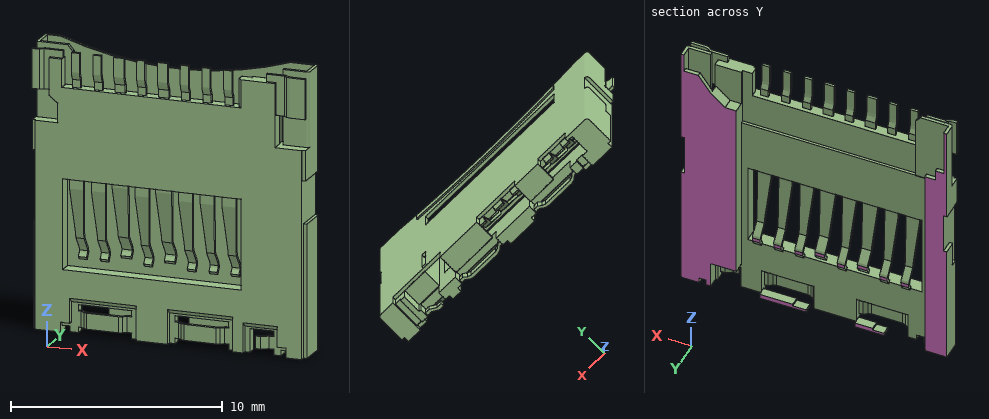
import cadquery as cq

WIDTH = 13.8
HEIGHT = 14.1
DEPTH = 1.93
HALF_WIDTH = WIDTH / 2

SHEET = 0.17
SHELL_BACK = 1.86
PLATE_FRONT = SHELL_BACK - SHEET
SHELL_CORNER_RADIUS = 0.17
FLANGE_CORNER_RADIUS = 0.14
INNER_HALF = HALF_WIDTH - SHEET
WALL_GAP_BOTTOM = 6.67
WALL_GAP_TOP = 8.85
SHOULDER_Z = 10.36
UPPER_WALL_FRONT = 0.08
LOWER_WALL_FRONT = 0.27
STEPPED_WALL_FRONT = 0.59
WALL_STEP_Z = 5.32
FLANGE_FRONT = 0.55
FLANGE_BACK = FLANGE_FRONT + SHEET
LEFT_FLANGE_END = -5.02
RIGHT_FLANGE_END = 5.6
PLATE_BOTTOM = 1.18
PLATE_CUT_LEFT = -5.44
PLATE_CUT_RIGHT = 5.94

ARC_X = -0.28
ARC_RADIUS = 18.05
ARC_BOTTOM = 13.14

FLANGE_CHAMFER_X = -5.29
FLANGE_CHAMFER_Z = 13.79

CONTACT_OPENING = (-4.71, 3.78, 9.87, 11.56)
SLIDER_OPENING = (3.78, 4.02, 1.69, 4.23)

LIP_X = -0.2
LIP_HALF = 4.51
LIP_OFFSET = 0.44
LIP_BAND = 0.72

BASE_TOP = 12.14
POST_TOP = 13.54
BASE_WALL = 0.55
LEFT_POST_BACK = 0.45
LOWER_BASE_WALL = 0.69
SLOT_LEFT = -5.75
SLOT_RIGHT = 5.35
LEFT_POST_OUTER = -6.02
LEFT_POST_INNER = -5.39
LEFT_SHOULDER_X = -5.6
LEFT_SHOULDER_Z = (11.34, 11.67)
RIGHT_POST_INNER = 3.68
RIGHT_POST_OUTER = 5.39
POST_CHAMFER = 0.17
POST_STEP_X = 4.02
RAIL_STEP_Y = 1.06
LEFT_RAIL_STEP_X = -6.3
RAIL_REAR_TOP = 11.0
RAIL_CORNER_TOP = 11.56

SLIDER_LEFT = 4.02
SLIDER_RAMP_X = 4.6
SLIDER_BOTTOM = 1.41
SLIDER_LOW_TOP = 11.56
SLIDER_HIGH_TOP = 12.2
RAIL_RAMP_END_X = 5.99
RIGHT_RAIL_TOP = 13.08

WINDOW_LEFT = -5.35
WINDOW_RIGHT = 3.68
WINDOW_BOTTOM = 3.12
WINDOW_TOP = 7.61

CONTACT_COUNT = 8
CONTACT_PITCH = 1.1
FIRST_CONTACT_X = -4.71
CONTACT_SHEET = 0.14
CONTACT_TOP = 13.9
WIDE_CONTACTS = (2, 4)
ROOT_WIDTH = 0.7
WIDE_ROOT_WIDTH = 0.82
TIP_WIDTH = 0.41
WIDE_TIP_WIDTH = 0.52
ROOT_BOTTOM = 7.09
WIDE_ROOT_BOTTOM = 7.4
WIDE_TIP_LIFT = 0.28
NECK_Z = 4.8

RECESS_DEPTH = 0.23
RECESS_RAMP = 0.23
FOOT_NOTCH_TOP = 0.28
FOOT_RECESS_TOP = 0.5
OPENING_TOP = 1.4
STRIP_BOTTOM = 0.28
STRIP_TOP = 1.09
STRIP_FRONT = 0.03
STRIP_SHEET = 0.17
STRIP_KNEE_LENGTH = 0.17
STRIP_KNEE_Y = 0.08
STOP_BOTTOM = 0.17
STOP_FRONT = 0.79
STOP_STEP = 0.1

LEFT_RECESS = (-4.98, -1.62)
MIDDLE_RECESS = (-0.03, 3.25)
RIGHT_RECESS = (3.78, 5.5)
RECESS_TOP = 1.73
RIGHT_RECESS_TOP = 1.51
LEFT_OPENING = (-4.62, -1.95)
MIDDLE_OPENING = (0.25, 2.96)
RIGHT_OPENING = (4.05, 5.23)
LEFT_FOOT_NOTCH = (PLATE_CUT_LEFT, -5.06)
RIGHT_FOOT_NOTCH = (5.6, PLATE_CUT_RIGHT)
LEFT_BULGE = (-4.48, -2.17)
MIDDLE_BULGE = (0.42, 2.76)
BULGE_RAMP = 0.35
SWITCH_TOP = 0.92
SWITCH_TIP = 4.37
SWITCH_BEND = (4.65, 4.99)
LEFT_STOP = (-3.64, -2.12)
LEFT_STOP_STEP_X = -3.06
MIDDLE_STOP = (0.4, 2.82)
MIDDLE_STOP_STEP_X = 1.09

TAB_BOTTOM = 11.91
TAB_TOP = CONTACT_TOP
TAB_SHEET = 0.15
TAB_STEP = 0.17
TAB_KNEE_Y = 0.04
LEFT_TAB_BENDS = (-6.68, -6.51, -6.35)
RIGHT_TAB_BENDS = (6.15, 5.96, 5.81)
RIGHT_TAB_END = 4.89


def block(x0, x1, y0, y1, z0, z1):
    return cq.Workplane("XY").box(x1 - x0, y1 - y0, z1 - z0, centered=False).translate((x0, y0, z0))


def front_prism(points, y0, y1):
    """Outline of (x, z) points, solid from y0 to y1."""
    return cq.Workplane("XZ", origin=(0, y1, 0)).polyline(points).close().extrude(y1 - y0)


def side_prism(points, x0, x1):
    """Outline of (y, z) points, solid from x0 to x1."""
    return cq.Workplane("YZ", origin=(x0, 0, 0)).polyline(points).close().extrude(x1 - x0)


def top_prism(points, z0, z1):
    """Outline of (x, y) points, solid from z0 to z1."""
    return cq.Workplane("XY", origin=(0, 0, z0)).polyline(points).close().extrude(z1 - z0)


def bent_strip(path, thickness, z0, z1):
    """Strip along a path of (x, y) points, thickened towards the back."""
    back = [(x, y + thickness) for x, y in reversed(path)]
    return top_prism(path + back, z0, z1)


def finger_recess():
    """Cylinder that scoops the top edge of the back plate."""
    centre = (ARC_X, DEPTH, ARC_BOTTOM + ARC_RADIUS)
    return cq.Workplane("XZ", origin=centre).circle(ARC_RADIUS).extrude(DEPTH - FLANGE_BACK)


def shell():
    tube = (
        block(-HALF_WIDTH, HALF_WIDTH, 0, SHELL_BACK, 0, HEIGHT)
        .edges("|Z and >Y")
        .fillet(SHELL_CORNER_RADIUS)
        .cut(block(-INNER_HALF, INNER_HALF, 0, PLATE_FRONT, 0, HEIGHT))
    )
    left_outline = [
        (-HALF_WIDTH, SHOULDER_Z),
        (LEFT_FLANGE_END, SHOULDER_Z),
        (LEFT_FLANGE_END, FLANGE_CHAMFER_Z),
        (FLANGE_CHAMFER_X, HEIGHT),
        (-HALF_WIDTH, HEIGHT),
    ]
    left_flange = front_prism(left_outline, FLANGE_FRONT, FLANGE_BACK).edges("|Z and <X and <Y")
    left_flange = left_flange.fillet(FLANGE_CORNER_RADIUS)
    right_flange = block(RIGHT_FLANGE_END, HALF_WIDTH, FLANGE_FRONT, FLANGE_BACK, SHOULDER_Z, HEIGHT)
    right_flange = right_flange.edges("|Z and >X and <Y").fillet(FLANGE_CORNER_RADIUS)
    body = tube.cut(finger_recess())
    for x0, x1, z0, z1 in (CONTACT_OPENING, SLIDER_OPENING):
        body = body.cut(block(x0, x1, PLATE_FRONT, SHELL_BACK, z0, z1))
    body = body.cut(block(PLATE_CUT_LEFT, PLATE_CUT_RIGHT, 0, DEPTH, 0, PLATE_BOTTOM))

    for side in (-1, 1):
        inner, outer = sorted((side * INNER_HALF, side * HALF_WIDTH))
        body = body.cut(block(inner, outer, 0, DEPTH, WALL_GAP_BOTTOM, WALL_GAP_TOP))
        body = body.cut(block(inner, outer, 0, FLANGE_BACK, SHOULDER_Z, HEIGHT))
        body = body.cut(block(inner, outer, 0, UPPER_WALL_FRONT, WALL_GAP_TOP, SHOULDER_Z))
        body = body.cut(block(inner, outer, 0, LOWER_WALL_FRONT, 0, WALL_GAP_BOTTOM))
    step = block(-HALF_WIDTH, -INNER_HALF, 0, STEPPED_WALL_FRONT, WALL_STEP_Z, WALL_GAP_BOTTOM)
    return body.cut(step).union(left_flange).union(right_flange)


def lip():
    """Curved band standing off the back of the shell, concentric with the finger recess."""
    centre_z = ARC_BOTTOM + ARC_RADIUS
    inner_radius = ARC_RADIUS + LIP_OFFSET
    band = (
        cq.Workplane("XZ", origin=(LIP_X, DEPTH, centre_z))
        .circle(inner_radius + LIP_BAND)
        .circle(inner_radius)
        .extrude(DEPTH - PLATE_FRONT)
    )
    return band.intersect(block(LIP_X - LIP_HALF, LIP_X + LIP_HALF, 0, DEPTH, 0, HEIGHT))


def stop(x0, x1, step_x):
    """Tongue hanging from the back plate, bent forward to stop the card and thicker beyond step_x."""
    shelf_top = STOP_BOTTOM + SHEET
    tongue = block(x0, x1, PLATE_FRONT, SHELL_BACK, STOP_BOTTOM, PLATE_BOTTOM)
    shelf = block(x0, x1, STOP_FRONT, SHELL_BACK, STOP_BOTTOM, shelf_top)
    raised = block(step_x, x1, STOP_FRONT, SHELL_BACK, STOP_BOTTOM, shelf_top + STOP_STEP)
    return tongue.union(shelf).union(raised)


def base():
    wall_outline = [
        (-INNER_HALF, 0),
        (INNER_HALF, 0),
        (INNER_HALF, SHOULDER_Z),
        (RIGHT_POST_OUTER, SHOULDER_Z),
        (RIGHT_POST_OUTER, BASE_TOP),
        (LEFT_POST_INNER, BASE_TOP),
        (LEFT_POST_INNER, POST_TOP),
        (LEFT_POST_OUTER, POST_TOP),
        (LEFT_POST_OUTER, LEFT_SHOULDER_Z[1]),
        (LEFT_SHOULDER_X, LEFT_SHOULDER_Z[0]),
        (LEFT_SHOULDER_X, SHOULDER_Z),
        (-INNER_HALF, SHOULDER_Z),
    ]
    body = front_prism(wall_outline, 0, BASE_WALL)
    body = body.cut(block(-INNER_HALF, LEFT_POST_INNER, LEFT_POST_BACK, BASE_WALL, SHOULDER_Z, POST_TOP))
    body = body.union(block(-INNER_HALF, INNER_HALF, 0, LOWER_BASE_WALL, 0, SHOULDER_Z))
    body = body.union(block(-INNER_HALF, SLOT_LEFT, 0, PLATE_FRONT, 0, SHOULDER_Z))
    body = body.union(block(SLOT_RIGHT, INNER_HALF, 0, PLATE_FRONT, 0, SHOULDER_Z))
    body = body.union(block(-INNER_HALF, SLOT_LEFT, RAIL_STEP_Y, PLATE_FRONT, 0, RAIL_REAR_TOP))
    right_rail_rear = [
        (SLOT_RIGHT, 0),
        (INNER_HALF, 0),
        (INNER_HALF, RIGHT_RAIL_TOP),
        (RAIL_RAMP_END_X, RIGHT_RAIL_TOP),
        (SLOT_RIGHT, SLIDER_HIGH_TOP),
    ]
    body = body.union(front_prism(right_rail_rear, RAIL_STEP_Y, PLATE_FRONT))
    body = body.union(block(-INNER_HALF, LEFT_RAIL_STEP_X, RAIL_STEP_Y, PLATE_FRONT, 0, RAIL_CORNER_TOP))
    right_post = [
        (RIGHT_POST_INNER, 0),
        (RIGHT_POST_OUTER, 0),
        (RIGHT_POST_OUTER, LOWER_BASE_WALL),
        (POST_STEP_X, LOWER_BASE_WALL),
        (POST_STEP_X, BASE_WALL),
        (RIGHT_POST_INNER - POST_CHAMFER, BASE_WALL),
        (RIGHT_POST_INNER - POST_CHAMFER, POST_CHAMFER),
    ]
    body = body.union(top_prism(right_post, SHOULDER_Z, POST_TOP))
    return body.cut(block(WINDOW_LEFT, WINDOW_RIGHT, 0, LOWER_BASE_WALL, WINDOW_BOTTOM, WINDOW_TOP))


def slider():
    """Slider along the right side of the slot, with a ramped top."""
    outline = [
        (SLIDER_LEFT, SLIDER_BOTTOM),
        (SLOT_RIGHT, SLIDER_BOTTOM),
        (SLOT_RIGHT, SLIDER_HIGH_TOP),
        (SLIDER_RAMP_X, SLIDER_LOW_TOP),
        (SLIDER_LEFT, SLIDER_LOW_TOP),
    ]
    return front_prism(outline, LOWER_BASE_WALL, PLATE_FRONT)


def recess(x0, x1, top):
    """Shallow recess in the lower front face, with a sloping upper side."""
    profile = [(0, 0), (RECESS_DEPTH, 0), (RECESS_DEPTH, top - RECESS_RAMP), (0, top)]
    return side_prism(profile, x0, x1)


def foot_notch(x0, x1, recess_end):
    """Notch through the bottom edge, with a shallow recess above it reaching to recess_end."""
    shallow = block(min(x0, recess_end), max(x1, recess_end), 0, RECESS_DEPTH, 0, FOOT_RECESS_TOP)
    return shallow.union(block(x0, x1, 0, PLATE_FRONT, 0, FOOT_NOTCH_TOP))


def spring_bar(x0, x1, bulge0, bulge1):
    """Bar across a bottom opening that bulges towards the front between bulge0 and bulge1."""
    path = [
        (x0, RECESS_DEPTH),
        (bulge0, RECESS_DEPTH),
        (bulge0 + BULGE_RAMP - STRIP_KNEE_LENGTH, STRIP_KNEE_Y),
        (bulge0 + BULGE_RAMP, STRIP_FRONT),
        (bulge1 - BULGE_RAMP, STRIP_FRONT),
        (bulge1 - BULGE_RAMP + STRIP_KNEE_LENGTH, STRIP_KNEE_Y),
        (bulge1, RECESS_DEPTH),
        (x1, RECESS_DEPTH),
    ]
    return bent_strip(path, STRIP_SHEET, STRIP_BOTTOM, STRIP_TOP)


def contact(index):
    """Leaf contact: solder tail at the top, anchored in the base, spring tip in the window."""
    wide = index in WIDE_CONTACTS
    root_width = WIDE_ROOT_WIDTH if wide else ROOT_WIDTH
    tip_width = WIDE_TIP_WIDTH if wide else TIP_WIDTH
    root_z = WIDE_ROOT_BOTTOM if wide else ROOT_BOTTOM
    lift = WIDE_TIP_LIFT if wide else 0.0
    x = FIRST_CONTACT_X + index * CONTACT_PITCH
    tail_and_beam = [
        (0.04, CONTACT_TOP),
        (0.04, 12.93),
        (0.08, 12.76),
        (0.2, 12.53),
        (0.2, root_z),
        (0.65, 4.55 + lift),
        (1.07, 3.98 + lift),
    ]
    back = [(y + CONTACT_SHEET, z) for y, z in reversed(tail_and_beam)]
    curled_tip = [(1.14, 3.8 + lift), (1.1, 3.7 + lift), (0.97, 3.52 + lift)]
    curled_tip += [(1.09, 3.38 + lift), (1.3, 3.72 + lift)]
    profile = tail_and_beam + curled_tip + back
    leaf = side_prism(profile, x - root_width / 2, x + root_width / 2)
    neck_z = NECK_Z + lift
    half_outline = [
        (tip_width / 2, 0),
        (tip_width / 2, neck_z),
        (root_width / 2, root_z),
        (root_width / 2, WINDOW_TOP),
        (tip_width / 2, WINDOW_TOP),
        (tip_width / 2, HEIGHT),
    ]
    outline = [(x + dx, z) for dx, z in half_outline] + [(x - dx, z) for dx, z in reversed(half_outline)]
    return leaf.intersect(front_prism(outline, 0, DEPTH))


def solder_tab(outer_end, bends, inner_end):
    foot_bend, knee, step_bend = bends
    path = [
        (outer_end, 0),
        (foot_bend, 0),
        (knee, TAB_KNEE_Y),
        (step_bend, TAB_STEP),
        (inner_end, TAB_STEP),
    ]
    return bent_strip(path, TAB_SHEET, TAB_BOTTOM, TAB_TOP)


def switch_spring():
    """Short spring in the right opening, bent forward from the edge of the recess."""
    path = [
        (SWITCH_TIP, STRIP_FRONT),
        (SWITCH_BEND[0], STRIP_FRONT),
        (SWITCH_BEND[1], RECESS_DEPTH),
        (RIGHT_RECESS[1], RECESS_DEPTH),
    ]
    return bent_strip(path, STRIP_SHEET, STRIP_BOTTOM, SWITCH_TOP)


result = shell().union(lip()).union(base()).union(slider())

for ends, top in (
    (LEFT_RECESS, RECESS_TOP),
    (MIDDLE_RECESS, RECESS_TOP),
    (RIGHT_RECESS, RIGHT_RECESS_TOP),
):
    result = result.cut(recess(*ends, top))
for (left, right), top in (
    (LEFT_OPENING, OPENING_TOP),
    (MIDDLE_OPENING, OPENING_TOP),
    (RIGHT_OPENING, PLATE_BOTTOM),
):
    result = result.cut(block(left, right, 0, PLATE_FRONT, 0, top))
result = result.cut(foot_notch(*LEFT_FOOT_NOTCH, LEFT_RECESS[0]))
result = result.cut(foot_notch(*RIGHT_FOOT_NOTCH, RIGHT_RECESS[1]))

result = result.union(spring_bar(*LEFT_RECESS, *LEFT_BULGE))
result = result.union(spring_bar(*MIDDLE_RECESS, *MIDDLE_BULGE))
result = result.union(switch_spring())
result = result.union(stop(*LEFT_STOP, LEFT_STOP_STEP_X))
result = result.union(stop(*MIDDLE_STOP, MIDDLE_STOP_STEP_X))

for index in range(CONTACT_COUNT):
    result = result.union(contact(index))

result = result.union(solder_tab(-HALF_WIDTH, LEFT_TAB_BENDS, LEFT_POST_INNER))
result = result.union(solder_tab(HALF_WIDTH, RIGHT_TAB_BENDS, RIGHT_TAB_END))